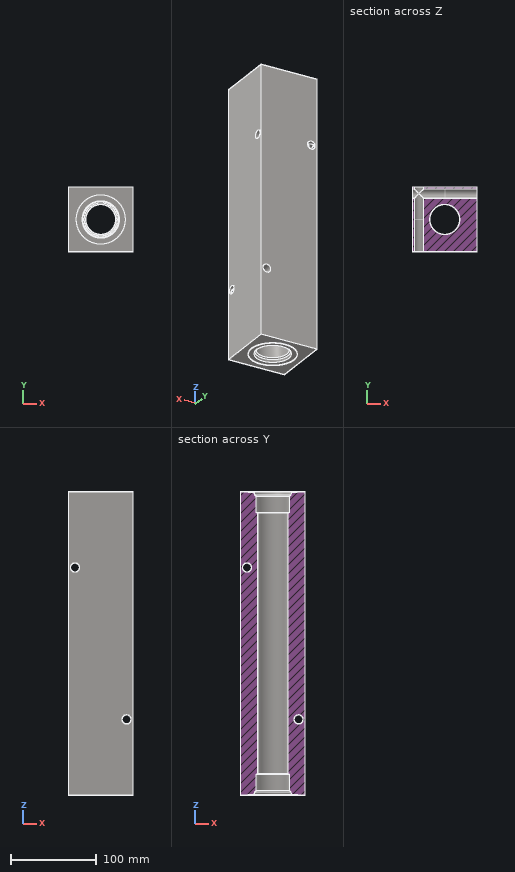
import cadquery as cq

side = 76.0
length = 355.5

spotface_diameter = 57.5
spotface_depth = 0.7
seat_mouth_diameter = 43.7
seat_root_diameter = 42.0
seat_depth = 3.2
thread_diameter = 38.8
thread_start_depth = 5.7
thread_end_depth = 24.2
shoulder_taper_height = 1.0
bore_diameter = 35.0

hole_diameter = 10.3
hole_edge_distance = 8.0
hole_end_distance = length / 4


def port_bore():
    """Both ports and the bore that joins them, as one turned solid on Z."""
    half_length = length / 2
    seat_top = half_length - spotface_depth
    seat_bottom = seat_top - seat_depth
    thread_top = half_length - thread_start_depth
    thread_bottom = half_length - thread_end_depth
    upper_profile = [
        (0, half_length),
        (spotface_diameter / 2, half_length),
        (spotface_diameter / 2, seat_top),
        (seat_mouth_diameter / 2, seat_top),
        (seat_root_diameter / 2, seat_bottom),
        (thread_diameter / 2, thread_top),
        (thread_diameter / 2, thread_bottom),
        (bore_diameter / 2, thread_bottom - shoulder_taper_height),
    ]
    lower_profile = [(r, -z) for r, z in reversed(upper_profile)]
    profile = cq.Workplane("XZ").polyline(upper_profile + lower_profile).close()
    return profile.revolve(360, (0, 0, 0), (0, 1, 0))


def cross_holes(plane, across_direction):
    """Two holes right through the block, at diagonally opposite corners of one face."""
    across = across_direction * (side / 2 - hole_edge_distance)
    height = length / 2 - hole_end_distance
    centers = [(-across, height), (across, -height)]
    return cq.Workplane(plane).pushPoints(centers).circle(hole_diameter / 2).extrude(side, both=True)


block = cq.Workplane("XY").box(side, side, length)
result = block.cut(port_bore())
result = result.cut(cross_holes("XZ", 1))
result = result.cut(cross_holes("YZ", -1))